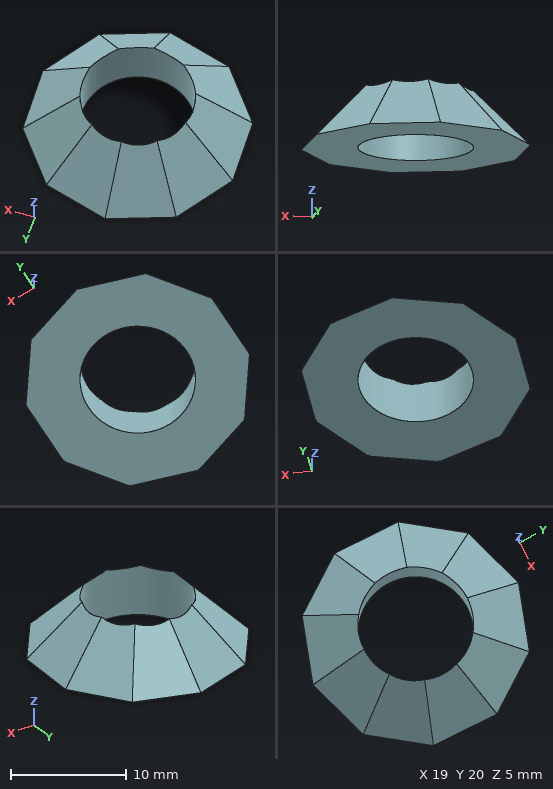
import cadquery as cq
import math

side_count = 10
base_radius = 10.0
bore_radius = 5.0
apex_height = 10.0
blank_height = 8.0

blank_top_radius = base_radius * (1 - blank_height / apex_height)


def decagon(radius):
    """Corners of a regular decagon with one corner on the +Y axis."""
    corners = []
    for index in range(side_count):
        angle = math.pi / 2 + index * 2 * math.pi / side_count
        corners.append((radius * math.cos(angle), radius * math.sin(angle)))
    return corners


pyramid = (
    cq.Workplane("XY")
    .polyline(decagon(base_radius))
    .close()
    .workplane(offset=blank_height)
    .polyline(decagon(blank_top_radius))
    .close()
    .loft(ruled=True)
)

bore = cq.Workplane("XY").circle(bore_radius).extrude(blank_height)

result = pyramid.cut(bore)